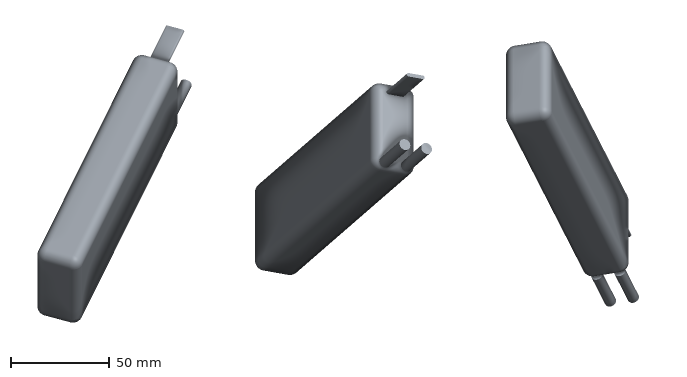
import cadquery as cq

body_width = 24.0
body_length = 150.0
body_height = 48.0
edge_radius = 5.0

overall_length = 175
prong_length = overall_length - body_length

pin_diameter = 6.0
pin_spacing = 12.0

blade_width = 10.0
blade_thickness = 2.0


def back_face():
    """Sketch plane on the back end: local x is +X, local y is +Z, normal is -Y."""
    return cq.Workplane(cq.Plane(origin=(0, body_length, 0), xDir=(1, 0, 0), normal=(0, -1, 0)))


def make_body():
    block = cq.Workplane("XY").box(body_width, body_length, body_height)
    return block.edges().fillet(edge_radius).translate((0, body_length / 2, 0))


def make_pins():
    pin_z = (pin_diameter - body_height) / 2
    centres = [(-pin_spacing / 2, pin_z), (pin_spacing / 2, pin_z)]
    return back_face().pushPoints(centres).circle(pin_diameter / 2).extrude(-prong_length)


def make_blade():
    blade_z = body_height / 2 - edge_radius - blade_thickness / 2
    outline = back_face().center(0, blade_z).slot2D(blade_width, blade_thickness)
    return outline.extrude(-prong_length)


result = make_body().union(make_pins()).union(make_blade())